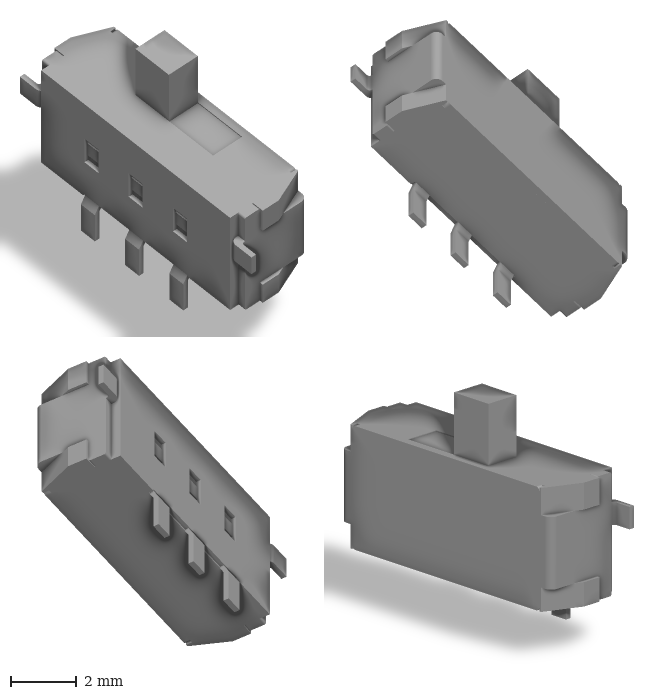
import cadquery as cq

HOUSING_DEPTH = 2.91
HOUSING_HEIGHT = 4.0
FRONT_WIDTH = 8.56
EAR_WIDTH = 9.44
EAR_FRONT_Y = 0.94
EAR_TAPER_Y = 1.6
BACK_WIDTH = 8.35

SHIELD_WIDTH = 9.19
SIDE_FRONT_Y = 0.33
SIDE_CORNER = 0.06
BACK_THICKNESS = 0.22
BACK_PANEL_WIDTH = 8.19
BACK_PANEL_CORNER = 0.15
BACK_BEND_RADIUS = 0.25
EAR_GAP_BOTTOM = 0.79
EAR_GAP_TOP = 3.13
TAB_SPAN = 10.49
TAB_BOTTOM = 2.28
TAB_HEIGHT = 0.72
TAB_THICKNESS = 0.19
TAB_OUTER_BEND = 0.25
TAB_INNER_BEND = 0.1

SLOT_LEFT = -1.56
SLOT_LENGTH = 3.51
SLOT_WIDTH = 1.2
SLOT_FRONT_Y = 1.42
SLOT_DEPTH = 0.04
SLIDER_LENGTH = 1.51
SLIDER_RISE = 2.0

LEG_COUNT = 3
LEG_PITCH = 2.0
LEG_WIDTH = 0.63
LEG_THICKNESS = 0.19
LEG_DROP = 1.38
LEG_FRONT_Y = -0.15
LEG_FRONT_BEND_Z = -0.25
LEG_BACK_BEND_Z = -0.21
LEG_SLOPE_DEPTH = 0.17
PLATE_MARGIN = 0.06
PLATE_THICKNESS = 0.19
NOTCH_HEIGHT = 0.06
WINDOW_BOTTOM = 1.48
WINDOW_HEIGHT = 1.02
WINDOW_DEPTH = 0.16
PAD_HEIGHT = 0.5
PAD_DEPTH = 0.1

EAR_GAP = EAR_GAP_TOP - EAR_GAP_BOTTOM
SIDE_THICKNESS = (SHIELD_WIDTH - FRONT_WIDTH) / 2
BACK_INNER_Y = HOUSING_DEPTH - BACK_THICKNESS
PLATE_WIDTH = (LEG_COUNT - 1) * LEG_PITCH + LEG_WIDTH + 2 * PLATE_MARGIN
PLATE_HEIGHT = WINDOW_BOTTOM + WINDOW_HEIGHT + PLATE_MARGIN
LEG_CENTERS = [(i - (LEG_COUNT - 1) / 2) * LEG_PITCH for i in range(LEG_COUNT)]


def block(width, y_start, y_end, z_start, height, x_center=0.0):
    """Box given by its X centre, its Y range, its bottom and its height."""
    box = cq.Workplane("XY").box(width, y_end - y_start, height, centered=(True, False, False))
    return box.translate((x_center, y_start, z_start))


def mirrored(left_half):
    """Both copies of a feature that repeats across the YZ plane."""
    return left_half.union(left_half.mirror("YZ"))


def back_panel():
    """Full-height middle of the shield back, with rounded corners."""
    panel = block(BACK_PANEL_WIDTH, BACK_INNER_Y, HOUSING_DEPTH, 0, HOUSING_HEIGHT)
    return panel.edges("|Y").fillet(BACK_PANEL_CORNER)


def contact_plate():
    return block(PLATE_WIDTH, WINDOW_DEPTH, WINDOW_DEPTH + PLATE_THICKNESS, 0, PLATE_HEIGHT)


def slot_block(length, height):
    """Box in the slot, against its left end and standing on its floor."""
    floor_z = HOUSING_HEIGHT - SLOT_DEPTH
    slot_back = SLOT_FRONT_Y + SLOT_WIDTH
    return block(length, SLOT_FRONT_Y, slot_back, floor_z, height, SLOT_LEFT + length / 2)


def make_housing():
    outline = [
        (FRONT_WIDTH / 2, 0),
        (FRONT_WIDTH / 2, EAR_FRONT_Y),
        (EAR_WIDTH / 2, EAR_FRONT_Y),
        (EAR_WIDTH / 2, EAR_TAPER_Y),
        (BACK_WIDTH / 2, HOUSING_DEPTH),
    ]
    outline += [(-x, y) for x, y in reversed(outline)]
    body = cq.Workplane("XY").polyline(outline).close().extrude(HOUSING_HEIGHT)

    core = block(FRONT_WIDTH, 0, BACK_INNER_Y, EAR_GAP_BOTTOM, EAR_GAP)
    waist = block(EAR_WIDTH, 0, HOUSING_DEPTH, EAR_GAP_BOTTOM, EAR_GAP)
    body = body.cut(waist.cut(core))
    body = body.cut(block(BACK_PANEL_WIDTH, BACK_INNER_Y, HOUSING_DEPTH, 0, HOUSING_HEIGHT))

    body = body.cut(slot_block(SLOT_LENGTH, SLOT_DEPTH))

    body = body.cut(contact_plate())
    body = body.cut(block(PLATE_WIDTH, 0, WINDOW_DEPTH, 0, NOTCH_HEIGHT))
    for x in LEG_CENTERS:
        body = body.cut(block(LEG_WIDTH, 0, WINDOW_DEPTH, WINDOW_BOTTOM, WINDOW_HEIGHT, x))
    return body


def shield_wrap():
    """Sides and back between the ears, rounded where they bend."""
    wrap = block(SHIELD_WIDTH, SIDE_FRONT_Y, HOUSING_DEPTH, EAR_GAP_BOTTOM, EAR_GAP)
    wrap = wrap.edges("|Z and >Y").fillet(BACK_BEND_RADIUS)
    return wrap.cut(block(FRONT_WIDTH, 0, BACK_INNER_Y, EAR_GAP_BOTTOM, EAR_GAP))


def side_plate():
    """Left full-height side plate in front of the ears."""
    x_center = -(SHIELD_WIDTH - SIDE_THICKNESS) / 2
    plate = block(SIDE_THICKNESS, SIDE_FRONT_Y, EAR_FRONT_Y, 0, HOUSING_HEIGHT, x_center)
    return plate.edges("|X").fillet(SIDE_CORNER)


def mounting_tab():
    """Left tab: leaves the front edge of the side plate and bends outward."""
    inner_x = -FRONT_WIDTH / 2
    outer_x = -SHIELD_WIDTH / 2
    tip_x = -TAB_SPAN / 2
    root_y = SIDE_FRONT_Y
    profile = (
        cq.Workplane("XY")
        .moveTo(inner_x, root_y)
        .lineTo(inner_x, TAB_OUTER_BEND)
        .radiusArc((inner_x - TAB_OUTER_BEND, 0), TAB_OUTER_BEND)
        .lineTo(tip_x, 0)
        .lineTo(tip_x, TAB_THICKNESS)
        .lineTo(outer_x - TAB_INNER_BEND, TAB_THICKNESS)
        .radiusArc((outer_x, TAB_THICKNESS + TAB_INNER_BEND), -TAB_INNER_BEND)
        .lineTo(outer_x, root_y)
        .close()
    )
    return profile.extrude(TAB_HEIGHT).translate((0, 0, TAB_BOTTOM))


def make_shield():
    side = side_plate().union(mounting_tab())
    return shield_wrap().union(back_panel()).union(mirrored(side))


def make_slider():
    return slot_block(SLIDER_LENGTH, SLOT_DEPTH + SLIDER_RISE)


def make_leg(x_center):
    """Leg that leaves the plate on a slope and then drops straight down."""
    front_y = LEG_FRONT_Y
    back_y = front_y + LEG_THICKNESS
    slope = LEG_FRONT_Y / LEG_FRONT_BEND_Z
    notch_y = slope * NOTCH_HEIGHT
    profile = [
        (front_y, -LEG_DROP),
        (front_y, LEG_FRONT_BEND_Z),
        (notch_y, NOTCH_HEIGHT),
        (LEG_SLOPE_DEPTH, NOTCH_HEIGHT),
        (LEG_SLOPE_DEPTH, 0),
        (back_y, LEG_BACK_BEND_Z),
        (back_y, -LEG_DROP),
    ]
    leg = cq.Workplane("YZ").polyline(profile).close().extrude(LEG_WIDTH / 2, both=True)
    return leg.translate((x_center, 0, 0))


def make_contact_block():
    contacts = contact_plate()
    pad_bottom = WINDOW_BOTTOM + (WINDOW_HEIGHT - PAD_HEIGHT) / 2
    for x in LEG_CENTERS:
        pad = block(LEG_WIDTH, PAD_DEPTH, WINDOW_DEPTH, pad_bottom, PAD_HEIGHT, x)
        contacts = contacts.union(pad).union(make_leg(x))
    return contacts


housing = make_housing()
shield = make_shield()
slider = make_slider()
contact_block = make_contact_block()

result = cq.Compound.makeCompound(
    [housing.val(), shield.val(), slider.val(), contact_block.val()]
)